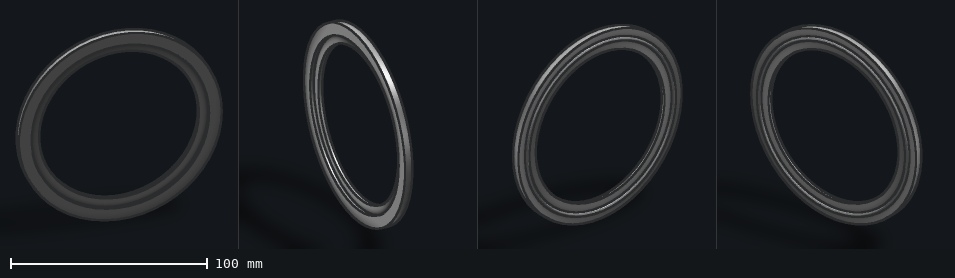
import cadquery as cq

outer_radius = 54.0
bore_radius = 42.5
total_thickness = 5.8

bead_mean_radius = 48.5
bead_radius = 1.2
bead_side_height = 0.3
bead_inner_radius = bead_mean_radius - bead_radius
bead_outer_radius = bead_mean_radius + bead_radius
bead_height = bead_side_height + bead_radius

rim_thickness = total_thickness - bead_height
web_face_rise = 0.1
bore_wall_length = 2.3
web_back = bore_wall_length - web_face_rise


def make_ring():
    """Rim, bead and web revolved from one half section of (axial, radial) points."""
    return (
        cq.Workplane("XY")
        .moveTo(-web_face_rise, bore_radius)
        .lineTo(0, bead_inner_radius)
        .lineTo(-bead_side_height, bead_inner_radius)
        .threePointArc(
            (-bead_height, bead_mean_radius),
            (-bead_side_height, bead_outer_radius),
        )
        .lineTo(0, bead_outer_radius)
        .lineTo(0, outer_radius)
        .lineTo(rim_thickness, outer_radius)
        .lineTo(rim_thickness, bead_inner_radius)
        .lineTo(web_back, bead_inner_radius)
        .lineTo(web_back, bore_radius)
        .close()
        .revolve(360, (0, 0, 0), (1, 0, 0))
    )


result = make_ring()